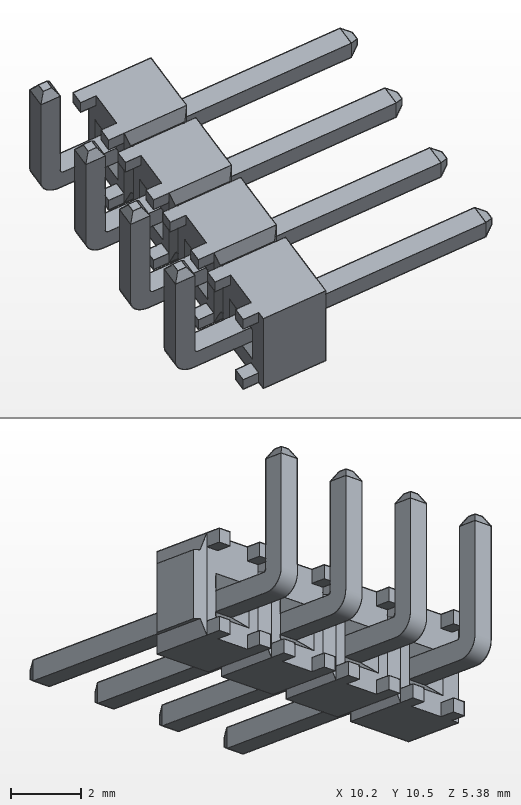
import cadquery as cq

pin_count = 4
pitch = 2.54
row_length = pin_count * pitch

body_depth = 2.05
body_height = 3.12
block_inset = 0.26
neck_flat = 0.13
neck_step = 0.51
neck_setback = 0.27

foot_size = 0.43
foot_length = 0.51

pin_width = 0.64
pin_axis_z = 1.32
mating_length = 6.10
tail_reach = 2.33
tail_top_z = 5.38
bend_outer_radius = 0.61
bend_inner_radius = 0.12
tip_length = 0.30
tip_width = 0.28

recess_width = 1.31
recess_depth = 0.38

overlap = 0.1


def body_unit():
    """One position of the body, necked down toward its pitch boundaries."""
    half_depth = body_depth / 2
    neck_half_depth = half_depth - neck_setback
    block_end = pitch - block_inset
    neck_top = body_height - neck_step

    elevation = (
        cq.Workplane("XZ")
        .polyline([
            (0, neck_step),
            (neck_flat, neck_step),
            (block_inset, 0),
            (block_end, 0),
            (pitch - neck_flat, neck_step),
            (pitch, neck_step),
            (pitch, neck_top),
            (pitch - neck_flat, neck_top),
            (block_end, body_height),
            (block_inset, body_height),
            (neck_flat, neck_top),
            (0, neck_top),
        ])
        .close()
        .extrude(half_depth, both=True)
    )
    plan = (
        cq.Workplane("XY")
        .polyline([
            (0, -neck_half_depth),
            (block_inset, -half_depth),
            (block_end, -half_depth),
            (pitch, -neck_half_depth),
            (pitch, neck_half_depth),
            (block_end, half_depth),
            (block_inset, half_depth),
            (0, neck_half_depth),
        ])
        .close()
        .extrude(body_height)
    )
    return elevation.intersect(plan)


def end_extension():
    """Plain full-section end that fills the last position out to the end of the row."""
    length = block_inset + overlap
    return (
        cq.Workplane("XY")
        .box(length, body_depth, body_height, centered=(False, True, False))
        .translate((row_length - length, 0, 0))
    )


def feet():
    """Four square standoffs at the front corners of one block."""
    body_front = -body_depth / 2
    foot = cq.Workplane("XY").box(foot_size, foot_length, foot_size, centered=False)
    group = cq.Workplane("XY")
    for x in (block_inset, pitch - block_inset - foot_size):
        for z in (0, body_height - foot_size):
            group = group.add(foot.translate((x, body_front - foot_length, z)))
    return group.combine()


def recess():
    """Pyramid-shaped recess narrowing from the front face down to the pin."""
    return (
        cq.Workplane("XZ", origin=(pitch / 2, -body_depth / 2, pin_axis_z))
        .rect(recess_width, recess_width)
        .workplane(offset=-recess_depth)
        .rect(pin_width, pin_width)
        .loft()
    )


def tip(plane, origin):
    """Tapered pin tip growing along the normal of the given plane."""
    return (
        cq.Workplane(plane, origin=origin)
        .rect(pin_width, pin_width)
        .workplane(offset=tip_length)
        .rect(tip_width, tip_width)
        .loft()
    )


def pin():
    """Square pin bent up through a right angle, with both tips tapered."""
    half = pin_width / 2
    center_x = pitch / 2
    low = pin_axis_z - half
    high = pin_axis_z + half
    outer_y = -body_depth / 2 - tail_reach
    inner_y = outer_y + pin_width
    mating_shoulder = body_depth / 2 + mating_length - tip_length
    tail_shoulder = tail_top_z - tip_length

    shank = (
        cq.Workplane("YZ", origin=(center_x, 0, 0))
        .moveTo(mating_shoulder, low)
        .lineTo(outer_y + bend_outer_radius, low)
        .radiusArc((outer_y, low + bend_outer_radius), bend_outer_radius)
        .lineTo(outer_y, tail_shoulder)
        .lineTo(inner_y, tail_shoulder)
        .lineTo(inner_y, high + bend_inner_radius)
        .radiusArc((inner_y + bend_inner_radius, high), -bend_inner_radius)
        .lineTo(mating_shoulder, high)
        .close()
        .extrude(half, both=True)
    )
    tail_tip = tip("XY", (center_x, outer_y + half, tail_shoulder))
    mating_tip = tip("ZX", (center_x, mating_shoulder, pin_axis_z))
    return shank.union(tail_tip).union(mating_tip)


position = body_unit().union(feet()).cut(recess()).union(pin())

result = end_extension()
for index in range(pin_count):
    result = result.union(position.translate((index * pitch, 0, 0)))